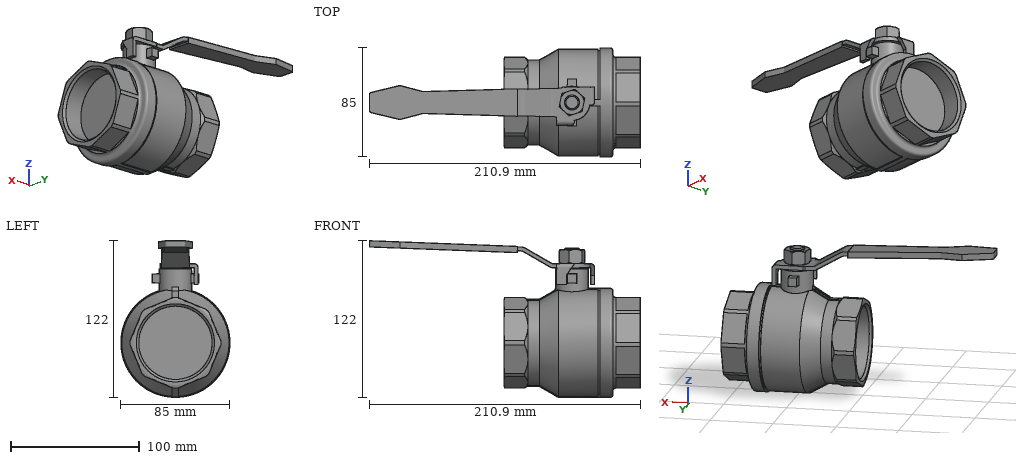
import cadquery as cq
import math


END_LEFT = -53.0
END_RIGHT = 53.3
NECK_RADIUS = 33.2
NECK_START = -34.3
CONE_START = -25.4
CONE_END = -10.6
BODY_RADIUS = 41.7
FLANGE_RADIUS = 42.5
FLANGE_START = 21.7
FLANGE_END = 31.8
FLANGE_ROUND = 2.0
GROOVE_WIDTH = 1.3
GROOVE_DEPTH = 1.0
COVER_NECK_END = 34.4
COVER_FILLET = 2.4

OCTAGON_FLATS = 2 * NECK_RADIUS
OCTAGON_CORNER_RADIUS = 35.3
OCTAGON_BEVEL = 2.5
END_BEVEL_RADIUS = 33.0
END_BEVEL_DEPTH = 0.6
COVER_TWIST = 2.0

SOCKET_RADIUS = 28.5
SOCKET_MOUTH_RADIUS = 30.4
SOCKET_DEPTH = 17.7

RIB_WIDTH = 5.0
RIB_HEIGHT = FLANGE_RADIUS - BODY_RADIUS
RIB_BLEND_RADIUS = 3.8

COLLAR_RADIUS = 12.7
COLLAR_TOP = 57.5
STOP_BASE = 8.8
STOP_DRAFT = 3.0
STOP_REACH = 18.2
STOP_HEIGHT = 50.1

STEM_RADIUS = 5.8
STEM_TOP = 73.9
STEM_CHAMFER = 1.0
NUT_FLATS = 18.2
NUT_TOP = 72.5
NUT_CHAMFER = 1.1
NUT_TURN = 18.0

SHEET = 3.2
PLATE_BOTTOM = 58.4
PLATE_TOP = PLATE_BOTTOM + SHEET
PLATE_RADIUS = 14.0
PLATE_HALF_WIDTH = 11.4
ARM_START = -16.2
ARM_RISE = 13.0
ARM_ANGLE = 30.0
ARM_HALF_WIDTH = 10.4
LOW_BEND_RADIUS = 3.0
HIGH_BEND_RADIUS = 8.0
BEND_SEARCH = 1.5
GRIP_ANGLE = 2.2
GRIP_THICKNESS = 5.0
GRIP_START = -42.4
GRIP_TIP = -157.6
GRIP_TOP = 79.5
GRIP_START_HALF_WIDTH = 10.7
GRIP_WAIST_X = -115.9
GRIP_WAIST_HALF_WIDTH = 8.6
GRIP_BULGE_X = -133.8
GRIP_BULGE_HALF_WIDTH = 13.3
GRIP_TIP_HALF_WIDTH = 7.6
GRIP_CORNER_ROUND = 2.0

TAB_FACE = 14.5
TAB_OUTER = TAB_FACE + SHEET
TAB_BOTTOM = 45.2
TAB_LONG_SIDE = -12.0
TAB_FOOT = -STOP_BASE / 2
TAB_HEAD = 2.0
TAB_SLANT_START = 52.5


def revolve_about_x(profile):
    return profile.close().revolve(360, (0, 0, 0), (1, 0, 0))


def body_profile(growth):
    """Half outline of the cast body from neck to flange, raised by the given growth."""
    return (
        cq.Workplane("XZ")
        .moveTo(END_LEFT + SOCKET_DEPTH, 0)
        .lineTo(END_LEFT + SOCKET_DEPTH, NECK_RADIUS + growth)
        .lineTo(CONE_START, NECK_RADIUS + growth)
        .lineTo(CONE_END, BODY_RADIUS + growth)
        .lineTo(FLANGE_START, BODY_RADIUS + growth)
        .lineTo(FLANGE_START, 0)
    )


def make_body():
    body = revolve_about_x(body_profile(0))
    groove = (
        cq.Workplane("YZ", origin=(FLANGE_START - GROOVE_WIDTH, 0, 0))
        .circle(FLANGE_RADIUS)
        .circle(BODY_RADIUS - GROOVE_DEPTH)
        .extrude(GROOVE_WIDTH)
    )
    return body.cut(groove)


def make_ribs():
    band = cq.Workplane("XY").box(END_RIGHT - END_LEFT, RIB_WIDTH, 2 * FLANGE_RADIUS)
    return revolve_about_x(body_profile(RIB_HEIGHT)).intersect(band)


def make_rib_blend():
    """Rounded corner that leads the upper rib from the cone into the stem collar."""
    slope = math.atan2(BODY_RADIUS - NECK_RADIUS, CONE_END - CONE_START)
    corner_z = BODY_RADIUS + RIB_HEIGHT - (CONE_END + COLLAR_RADIUS) * math.tan(slope)
    tangent = RIB_BLEND_RADIUS * math.tan((math.pi / 2 - slope) / 2)
    foot = (-COLLAR_RADIUS - tangent * math.cos(slope), corner_z - tangent * math.sin(slope))
    return (
        cq.Workplane("XZ")
        .moveTo(*foot)
        .radiusArc((-COLLAR_RADIUS, corner_z + tangent), -RIB_BLEND_RADIUS)
        .lineTo(0, corner_z + tangent)
        .lineTo(0, foot[1])
        .close()
        .extrude(RIB_WIDTH / 2, both=True)
    )


def make_flange():
    neck_radius = OCTAGON_CORNER_RADIUS
    blend = COVER_FILLET * (1 - math.sqrt(0.5))
    profile = (
        cq.Workplane("XZ")
        .moveTo(FLANGE_START, 0)
        .lineTo(FLANGE_START, FLANGE_RADIUS)
        .lineTo(FLANGE_END - FLANGE_ROUND, FLANGE_RADIUS)
        .radiusArc((FLANGE_END, FLANGE_RADIUS - FLANGE_ROUND), FLANGE_ROUND)
        .lineTo(FLANGE_END, neck_radius + COVER_FILLET)
        .threePointArc(
            (FLANGE_END + blend, neck_radius + blend),
            (FLANGE_END + COVER_FILLET, neck_radius),
        )
        .lineTo(COVER_NECK_END, neck_radius)
        .lineTo(COVER_NECK_END, 0)
    )
    return revolve_about_x(profile)


def octagon_bar(start, end, twist):
    """Octagonal bar with rounded-off corners; a corner points up when twist is zero."""
    across_corners = OCTAGON_FLATS / math.cos(math.pi / 8)
    length = end - start
    bar = cq.Workplane("YZ", origin=(start, 0, 0)).polygon(8, across_corners).extrude(length)
    limit = cq.Workplane("YZ", origin=(start, 0, 0)).circle(OCTAGON_CORNER_RADIUS).extrude(length)
    return bar.rotate((0, 0, 0), (1, 0, 0), twist).intersect(limit)


def make_left_octagon():
    bevel_cone = revolve_about_x(
        cq.Workplane("XZ")
        .moveTo(END_LEFT, 0)
        .lineTo(END_LEFT, END_BEVEL_RADIUS)
        .lineTo(END_LEFT + END_BEVEL_DEPTH, OCTAGON_CORNER_RADIUS)
        .lineTo(NECK_START - OCTAGON_BEVEL, OCTAGON_CORNER_RADIUS)
        .lineTo(NECK_START, NECK_RADIUS)
        .lineTo(NECK_START, 0)
    )
    return octagon_bar(END_LEFT, NECK_START, 0).intersect(bevel_cone)


def make_socket(mouth_x, inward):
    """Blind pipe socket with a 45 degree lead-in; inward is +1 or -1 along X."""
    lead_in = SOCKET_MOUTH_RADIUS - SOCKET_RADIUS
    return revolve_about_x(
        cq.Workplane("XZ")
        .moveTo(mouth_x, 0)
        .lineTo(mouth_x, SOCKET_MOUTH_RADIUS)
        .lineTo(mouth_x + inward * lead_in, SOCKET_RADIUS)
        .lineTo(mouth_x + inward * SOCKET_DEPTH, SOCKET_RADIUS)
        .lineTo(mouth_x + inward * SOCKET_DEPTH, 0)
    )


def make_collar():
    collar = cq.Workplane("XY").circle(COLLAR_RADIUS).extrude(COLLAR_TOP)
    stop = (
        cq.Workplane("XZ", origin=(0, 0, STOP_HEIGHT))
        .rect(STOP_BASE, STOP_BASE)
        .extrude(STOP_REACH, taper=STOP_DRAFT)
    )
    return collar.union(stop).union(stop.mirror("XZ"))


def make_stem_and_nut():
    stem = cq.Workplane("XY").circle(STEM_RADIUS).extrude(STEM_TOP).faces(">Z").chamfer(STEM_CHAMFER)
    across_corners = NUT_FLATS / math.cos(math.pi / 6)
    nut_height = NUT_TOP - PLATE_TOP
    nut = cq.Workplane("XY", origin=(0, 0, PLATE_TOP)).polygon(6, across_corners).extrude(nut_height)
    rounding = (
        cq.Workplane("XY", origin=(0, 0, PLATE_TOP))
        .circle(across_corners / 2)
        .extrude(nut_height)
        .faces("<Z or >Z")
        .chamfer(NUT_CHAMFER)
    )
    return stem.union(nut.rotate((0, 0, 0), (0, 0, 1), NUT_TURN).intersect(rounding))


def symmetric_outline(half_points):
    """Closed plan outline through the points and their mirror images across the X axis."""
    mirrored = [(x, -y) for x, y in reversed(half_points)]
    return cq.Workplane("XY").polyline(half_points + mirrored).close()


def miter(point, first_angle, second_angle):
    """Point above a bend of the sheet, one sheet thickness from both legs."""
    bisector = math.radians((first_angle + second_angle) / 2)
    reach = SHEET / math.cos(math.radians((first_angle - second_angle) / 2))
    return (point[0] + reach * math.sin(bisector), point[1] + reach * math.cos(bisector))


def round_bend(strip, bend, radius):
    """Round the inner and outer edge of the sheet at one bend."""
    reach = BEND_SEARCH * SHEET
    around_bend = cq.selectors.BoxSelector(
        (bend[0] - reach, -PLATE_RADIUS, bend[1] - reach),
        (bend[0] + reach, PLATE_RADIUS, bend[1] + reach),
    )
    return strip.edges("|Y").edges(around_bend).fillet(radius)


def make_arm():
    grip_slope = math.tan(math.radians(GRIP_ANGLE))
    low_bend = (ARM_START, PLATE_BOTTOM)
    high_bend = (ARM_START - ARM_RISE / math.tan(math.radians(ARM_ANGLE)), PLATE_BOTTOM + ARM_RISE)
    tail_x = GRIP_START - SHEET
    tail = (tail_x, high_bend[1] + (high_bend[0] - tail_x) * grip_slope)
    outline = [
        (0, PLATE_BOTTOM),
        low_bend,
        high_bend,
        tail,
        miter(tail, GRIP_ANGLE, GRIP_ANGLE),
        miter(high_bend, ARM_ANGLE, GRIP_ANGLE),
        miter(low_bend, 0, ARM_ANGLE),
        (0, PLATE_TOP),
    ]
    strip = cq.Workplane("XZ").polyline(outline).close().extrude(PLATE_RADIUS, both=True)
    strip = round_bend(strip, low_bend, LOW_BEND_RADIUS)
    strip = round_bend(strip, high_bend, HIGH_BEND_RADIUS)
    plan = symmetric_outline(
        [(tail_x, ARM_HALF_WIDTH), (high_bend[0], ARM_HALF_WIDTH), (0, PLATE_HALF_WIDTH)]
    )
    return strip.intersect(plan.extrude(GRIP_TOP))


def make_grip():
    drop = (GRIP_START - GRIP_TIP) * math.tan(math.radians(GRIP_ANGLE))
    side = (
        cq.Workplane("XZ")
        .moveTo(GRIP_TIP, GRIP_TOP)
        .lineTo(GRIP_START, GRIP_TOP - drop)
        .lineTo(GRIP_START, GRIP_TOP - drop - GRIP_THICKNESS)
        .lineTo(GRIP_TIP, GRIP_TOP - GRIP_THICKNESS)
        .close()
        .extrude(GRIP_BULGE_HALF_WIDTH, both=True)
    )
    plan = symmetric_outline(
        [
            (GRIP_TIP, GRIP_TIP_HALF_WIDTH),
            (GRIP_BULGE_X, GRIP_BULGE_HALF_WIDTH),
            (GRIP_WAIST_X, GRIP_WAIST_HALF_WIDTH),
            (GRIP_START, GRIP_START_HALF_WIDTH),
        ]
    ).extrude(GRIP_TOP)
    plan = plan.edges("|Z").edges("<X").fillet(GRIP_CORNER_ROUND)
    return side.intersect(plan)


def make_front_tab():
    """Sheet tab bent down on the -Y side, slanted on its +X edge to meet the collar stop."""
    section = (
        cq.Workplane("YZ", origin=(TAB_LONG_SIDE, 0, 0))
        .moveTo(0, PLATE_TOP)
        .lineTo(-TAB_OUTER + SHEET, PLATE_TOP)
        .radiusArc((-TAB_OUTER, PLATE_TOP - SHEET), -SHEET)
        .lineTo(-TAB_OUTER, TAB_BOTTOM)
        .lineTo(-TAB_FACE, TAB_BOTTOM)
        .lineTo(-TAB_FACE, PLATE_BOTTOM)
        .lineTo(0, PLATE_BOTTOM)
        .close()
        .extrude(TAB_HEAD - TAB_LONG_SIDE)
    )
    face = (
        cq.Workplane("XZ")
        .moveTo(TAB_LONG_SIDE, TAB_BOTTOM)
        .lineTo(TAB_FOOT, TAB_BOTTOM)
        .lineTo(TAB_FOOT, TAB_SLANT_START)
        .lineTo(TAB_HEAD, PLATE_TOP)
        .lineTo(TAB_LONG_SIDE, PLATE_TOP)
        .close()
        .extrude(TAB_OUTER)
    )
    return section.intersect(face)


def make_lever():
    disk = cq.Workplane("XY", origin=(0, 0, PLATE_BOTTOM)).circle(PLATE_RADIUS).extrude(SHEET)
    straight_side = -TAB_LONG_SIDE
    disk = disk.intersect(
        cq.Workplane("XY", origin=(0, straight_side - PLATE_RADIUS, 0))
        .box(2 * PLATE_RADIUS, 2 * PLATE_RADIUS, 2 * PLATE_TOP)
    )
    front_tab = make_front_tab()
    side_tab = front_tab.mirror("XZ").rotate((0, 0, 0), (0, 0, 1), -90)
    lever = disk.union(make_arm()).union(make_grip())
    return lever.union(front_tab).union(side_tab)


result = make_body()
result = result.union(make_ribs()).union(make_flange())
result = result.union(make_left_octagon())
result = result.union(octagon_bar(FLANGE_START, END_RIGHT, COVER_TWIST))
result = result.union(make_collar()).union(make_rib_blend())
result = result.cut(make_socket(END_LEFT, 1)).cut(make_socket(END_RIGHT, -1))
result = result.union(make_stem_and_nut()).union(make_lever())